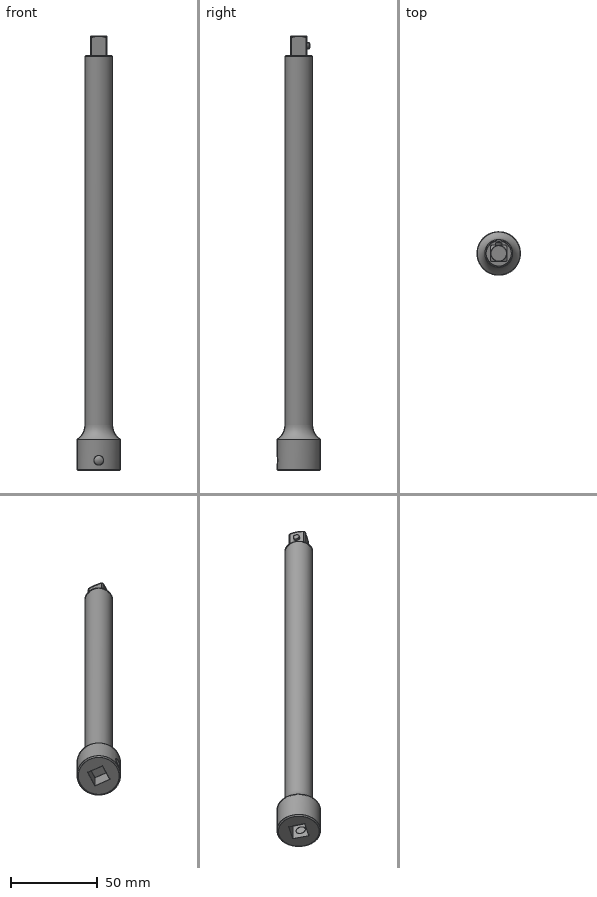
import cadquery as cq
import math

total_length = 250.3
shank_radius = 8.0
shank_top = 239.3
shank_chamfer = 0.8

head_radius = 12.5
head_height = 18.0
head_chamfer = 0.8
neck_top = 26.3
neck_rise = neck_top - head_height
neck_flare = head_radius - shank_radius
neck_arc_radius = (neck_rise**2 + neck_flare**2) / (2 * neck_flare)
neck_arc_angle = math.asin(neck_rise / neck_arc_radius)

drive_side = 9.5
drive_corner_radius = 6.3
drive_tip_radius = 4.5
drive_tip_drop = 0.8

socket_side = drive_side
socket_depth = total_length - shank_top

drive_pin_radius = 1.8
drive_pin_dome_radius = 3.0
drive_pin_height = 244.8
drive_pin_protrusion = 1.8
drive_pin_tip_y = drive_side / 2 + drive_pin_protrusion
drive_pin_length = drive_pin_tip_y

head_pin_radius = 2.8
head_pin_dome_radius = 4.5
head_pin_height = 6.0
head_pin_recess = 0.8
head_hole_depth = head_radius - socket_side / 2
head_pin_length = head_hole_depth - head_pin_recess


def make_domed_pin(radius, dome_radius, length):
    """Pin along +Y with a flat base at the far end and its domed tip at the origin."""
    dome_height = dome_radius - math.sqrt(dome_radius**2 - radius**2)
    mid_x = radius / 2
    mid_drop = dome_radius - math.sqrt(dome_radius**2 - mid_x**2)
    return (
        cq.Workplane("XY")
        .moveTo(0, 0)
        .threePointArc((mid_x, mid_drop), (radius, dome_height))
        .lineTo(radius, length)
        .lineTo(0, length)
        .close()
        .revolve(360, (0, 0, 0), (0, 1, 0))
    )


def make_pin_hole(radius, length):
    """Round cutter along +Y from the origin, matching a pin."""
    return cq.Workplane("XZ").circle(radius).extrude(-length)


def place_in_head(shape, recess=0.0):
    """Move the tip to the -Y wall of the head, sunk by the recess."""
    return shape.translate((0, recess - head_radius, head_pin_height))


def place_in_drive(shape):
    """Turn the tip to face +Y and move it to the drive."""
    turned = shape.rotate((0, 0, 0), (0, 0, 1), 180)
    return turned.translate((0, drive_pin_tip_y, drive_pin_height))


def make_turned_body():
    """Head, concave neck and shank, revolved about Z."""
    neck_mid = (
        shank_radius + neck_arc_radius * (1 - math.cos(neck_arc_angle / 2)),
        neck_top - neck_arc_radius * math.sin(neck_arc_angle / 2),
    )
    return (
        cq.Workplane("XZ")
        .moveTo(0, 0)
        .lineTo(head_radius - head_chamfer, 0)
        .lineTo(head_radius, head_chamfer)
        .lineTo(head_radius, head_height)
        .threePointArc(neck_mid, (shank_radius, neck_top))
        .lineTo(shank_radius, shank_top - shank_chamfer)
        .lineTo(shank_radius - shank_chamfer, shank_top)
        .lineTo(0, shank_top)
        .close()
        .revolve(360, (0, 0, 0), (0, 1, 0))
    )


def make_drive():
    """Square prism trimmed by a cylinder with a conical tip."""
    drive_length = total_length - shank_top
    square = (
        cq.Workplane("XY")
        .workplane(offset=shank_top)
        .rect(drive_side, drive_side)
        .extrude(drive_length)
    )
    envelope = (
        cq.Workplane("XZ")
        .moveTo(0, shank_top)
        .lineTo(drive_corner_radius, shank_top)
        .lineTo(drive_corner_radius, total_length - drive_tip_drop)
        .lineTo(drive_tip_radius, total_length)
        .lineTo(0, total_length)
        .close()
        .revolve(360, (0, 0, 0), (0, 1, 0))
    )
    return square.intersect(envelope)


def make_bar():
    """Extension bar with its socket and the two pin holes."""
    socket = cq.Workplane("XY").rect(socket_side, socket_side).extrude(socket_depth)
    head_hole = place_in_head(make_pin_hole(head_pin_radius, head_hole_depth))
    drive_hole = place_in_drive(make_pin_hole(drive_pin_radius, drive_pin_length))
    bar = make_turned_body().union(make_drive())
    return bar.cut(socket).cut(head_hole).cut(drive_hole)


bar = make_bar()
head_pin = place_in_head(
    make_domed_pin(head_pin_radius, head_pin_dome_radius, head_pin_length),
    head_pin_recess,
)
drive_pin = place_in_drive(make_domed_pin(drive_pin_radius, drive_pin_dome_radius, drive_pin_length))

result = cq.Compound.makeCompound([bar.val(), head_pin.val(), drive_pin.val()])